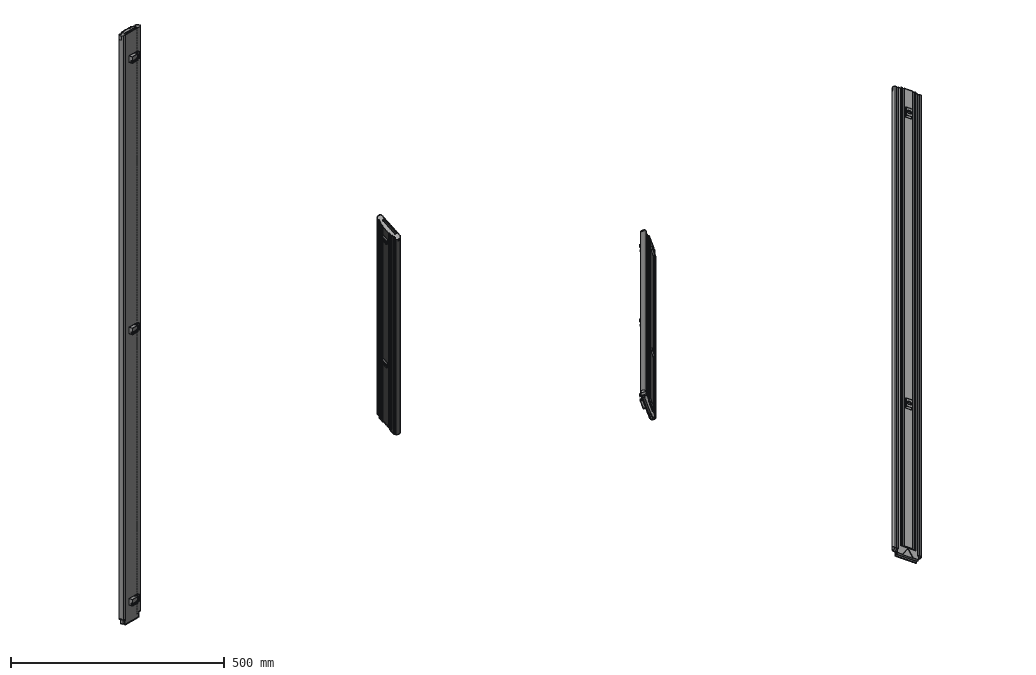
import cadquery as cq

LENGTH = 1524.0
HALF_DEPTH = 38.0
HALF_REACH = 15.0
TOP_Z = LENGTH / 2
BOTTOM_Z = -LENGTH / 2

BLADE_BACK = 5.3
BLADE_FRONT = -8.4
BLADE_CENTER = (BLADE_BACK + BLADE_FRONT) / 2
NOSE_START = 34.0
SPINE_FRONT = -11.5
SPINE_HALF = 20.0
GROOVE_DEPTH = 2.0
GROOVE_WIDTH = 5.0
SPINE_GROOVE_START = 11.5
BLADE_GROOVE_START = 25.1

CAVITY_FRONT = -2.0
CAVITY_BACK = 3.0
CAVITY_HALF = 23.0

BLADE_BOTTOM_Z = -748.0
SPINE_BOTTOM_Z = -736.0
BOTTOM_CHAMFER = 5.0
NOSE_RELIEF = 0.8
RELIEF_HEIGHT = 10.0

TONGUE_HALF = 27.0
TONGUE_SLOT_HEIGHT = 9.0
NOTCH_HALF = 14.0
NOTCH_DEPTH = 2.0

PAD_HEIGHTS = (686.0, -267.0)
PAD_HALF_WIDTH = 8.0
PAD_BASE_LENGTH = 34.0
PAD_TOP_LENGTH = 26.0
PAD_HOLE_DIAMETER = 10.0

HOOK_COUNT = 3
HOOK_PITCH = 701.0
FIRST_HOOK_TOP = 703.0
HOOK_HEIGHT = 17.0
HOOK_Y_MIN = -12.0
HOOK_Y_MAX = 9.0
HOOK_BLOCK_HEIGHT = 10.0
HOOK_LIP_THICKNESS = 3.0
HOOK_PLATE_THICKNESS = 2.3
HOOK_WEB_THICKNESS = 6.0
LUG_Y_MIN = 18.0
LUG_Y_MAX = 21.0
LUG_REACH = 12.0


def box_between(x0, x1, y0, y1, z0, z1):
    """Box given by its limits along each axis."""
    return cq.Workplane("XY").box(x1 - x0, y1 - y0, z1 - z0, centered=False).translate((x0, y0, z0))


def make_blade():
    """Flat bar with two rounded noses and chamfered lower corners."""
    bar = (
        cq.Workplane("XY", origin=(0, 0, BLADE_BOTTOM_Z))
        .moveTo(BLADE_FRONT, -NOSE_START)
        .threePointArc((BLADE_CENTER, -HALF_DEPTH), (BLADE_BACK, -NOSE_START))
        .lineTo(BLADE_BACK, NOSE_START)
        .threePointArc((BLADE_CENTER, HALF_DEPTH), (BLADE_FRONT, NOSE_START))
        .close()
        .extrude(TOP_Z - BLADE_BOTTOM_Z)
    )
    chamfer_y = HALF_DEPTH - BOTTOM_CHAMFER
    chamfer_z = BLADE_BOTTOM_Z + BOTTOM_CHAMFER
    for side in (-1, 1):
        corner = (
            cq.Workplane("YZ", origin=(BLADE_FRONT, 0, 0))
            .polyline([
                (side * chamfer_y, BLADE_BOTTOM_Z),
                (side * HALF_DEPTH, BLADE_BOTTOM_Z),
                (side * HALF_DEPTH, chamfer_z),
            ])
            .close()
            .extrude(BLADE_BACK - BLADE_FRONT)
        )
        relief_y = sorted((side * (HALF_DEPTH - NOSE_RELIEF), side * HALF_DEPTH))
        relief = box_between(BLADE_FRONT, BLADE_BACK, *relief_y, TOP_Z - RELIEF_HEIGHT, TOP_Z)
        bar = bar.cut(corner).cut(relief)
    return bar


def make_spine():
    """Thick middle strip standing out of the blade towards -X."""
    spine_back = BLADE_FRONT + GROOVE_DEPTH
    return box_between(SPINE_FRONT, spine_back, -SPINE_HALF, SPINE_HALF, SPINE_BOTTOM_Z, TOP_Z)


def cut_grooves(rail):
    """Lengthwise grooves on both sides of the spine and on both blades."""
    for face_x, start in ((SPINE_FRONT, SPINE_GROOVE_START), (BLADE_FRONT, BLADE_GROOVE_START)):
        for side in (-1, 1):
            groove_y = sorted((side * start, side * (start + GROOVE_WIDTH)))
            groove = box_between(face_x, face_x + GROOVE_DEPTH, *groove_y, BOTTOM_Z, TOP_Z)
            rail = rail.cut(groove)
    return rail


def make_tongue():
    """Narrower foot, slotted from below across its full width."""
    foot = box_between(
        BLADE_FRONT, BLADE_BACK, -TONGUE_HALF, TONGUE_HALF, BOTTOM_Z, BLADE_BOTTOM_Z
    )
    slot = box_between(
        CAVITY_FRONT, CAVITY_BACK, -TONGUE_HALF, TONGUE_HALF,
        BOTTOM_Z, BOTTOM_Z + TONGUE_SLOT_HEIGHT,
    )
    return foot.cut(slot)


def make_notch():
    """Shallow triangle sunk into the -X face, from the foot up to the spine."""
    return (
        cq.Workplane("YZ", origin=(BLADE_FRONT, 0, 0))
        .polyline([(-NOTCH_HALF, BOTTOM_Z), (NOTCH_HALF, BOTTOM_Z), (0, SPINE_BOTTOM_Z)])
        .close()
        .extrude(NOTCH_DEPTH)
    )


def make_cavity():
    """Flat slot-shaped hollow that runs from end to end."""
    return box_between(CAVITY_FRONT, CAVITY_BACK, -CAVITY_HALF, CAVITY_HALF, BOTTOM_Z, TOP_Z)


def make_pad(center_z):
    """Raised pad with sloped ends and a round blind hole down to the spine."""
    pad = (
        cq.Workplane("XZ", origin=(0, PAD_HALF_WIDTH, center_z))
        .polyline([
            (SPINE_FRONT, -PAD_BASE_LENGTH / 2),
            (-HALF_REACH, -PAD_TOP_LENGTH / 2),
            (-HALF_REACH, PAD_TOP_LENGTH / 2),
            (SPINE_FRONT, PAD_BASE_LENGTH / 2),
        ])
        .close()
        .extrude(2 * PAD_HALF_WIDTH)
    )
    hole = (
        cq.Workplane("YZ", origin=(-HALF_REACH, 0, center_z))
        .circle(PAD_HOLE_DIAMETER / 2)
        .extrude(SPINE_FRONT + HALF_REACH)
    )
    return pad.cut(hole)


def make_rail():
    """Full-length hollow rail with its tongue and pads."""
    rail = cut_grooves(make_blade().union(make_spine())).union(make_tongue())
    rail = rail.cut(make_notch()).cut(make_cavity())
    for center_z in PAD_HEIGHTS:
        rail = rail.union(make_pad(center_z))
    return rail


def make_hook(top_z):
    """Mounting plate with an upper block, a lower lip and a side lug."""
    bottom_z = top_z - HOOK_HEIGHT
    plate_x = BLADE_BACK + HOOK_PLATE_THICKNESS
    web_x = BLADE_BACK + HOOK_WEB_THICKNESS
    plate = box_between(BLADE_BACK, plate_x, HOOK_Y_MIN, LUG_Y_MAX, bottom_z, top_z)
    web = box_between(BLADE_BACK, web_x, HOOK_Y_MIN, HOOK_Y_MAX, bottom_z, top_z)
    block = box_between(
        BLADE_BACK, HALF_REACH, HOOK_Y_MIN, HOOK_Y_MAX, top_z - HOOK_BLOCK_HEIGHT, top_z
    )
    lip = box_between(
        BLADE_BACK, HALF_REACH, HOOK_Y_MIN, HOOK_Y_MAX, bottom_z, bottom_z + HOOK_LIP_THICKNESS
    )
    lug = box_between(BLADE_BACK, LUG_REACH, LUG_Y_MIN, LUG_Y_MAX, bottom_z, top_z)
    return plate.union(web).union(block).union(lip).union(lug)


rail = make_rail()
hooks = [make_hook(FIRST_HOOK_TOP - index * HOOK_PITCH) for index in range(HOOK_COUNT)]

result = cq.Compound.makeCompound([rail.val(), *[hook.val() for hook in hooks]])